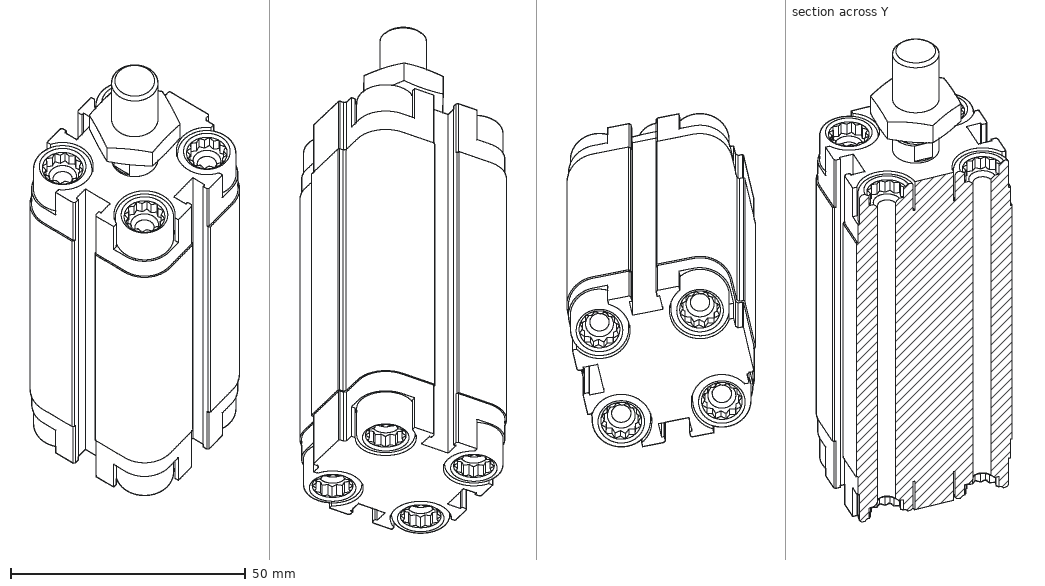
import cadquery as cq
import math

total_height = 114.5
housing_height = 88.2
cap_height = 12.7
cap_inset = 0.3
barrel_half_width = 18.0
screw_offset = 11.0

rib_top = 19.6
rib_half_width = 5.7
rib_root_chamfer = 0.5
rib_tip_chamfer = 0.2

slot_floor = 13.0
lip_back = 16.3
slot_half_width = 3.3
mouth_half_width = 2.7
mouth_chamfer = 0.3

pocket_depth = 7.7
pocket_wall = 7.8
pocket_bore = 13.0
head_diameter = 12.5
head_drop = 0.1
head_fillet = 0.9
mouth_diameter = 10.0
flute_diameter = 8.7
socket_diameter = 7.2
lead_in_depth = 0.6
star_depth = 2.7
flute_count = 12
countersink_diameter = 6.0
through_diameter = 4.1

rod_diameter = 10.0
neck_diameter = 8.7
tip_diameter = 8.5
tip_chamfer = (rod_diameter - tip_diameter) / 2
thread_end_height = 0.8
shank_height = 4.6
neck_height = 1.6
flats_width = 9.0
flats_start = 0.5

nut_across_flats = 17.0
nut_thickness = 5.3
nut_bottom = 96.4
nut_chamfer_angle = 15.0


def profile_solid(inset, bottom, height):
    """Rounded square with the rib, its outer surface moved in by the inset."""
    half = barrel_half_width - inset
    corner_radius = half - screw_offset
    rib_half = rib_half_width - inset
    tip = rib_top - inset
    square = (
        cq.Workplane("XY", origin=(0, 0, bottom))
        .rect(2 * half, 2 * half)
        .extrude(height)
        .edges("|Z")
        .fillet(corner_radius)
    )
    rib = (
        cq.Workplane("XY", origin=(0, 0, bottom))
        .moveTo(-rib_half - rib_root_chamfer, half)
        .lineTo(-rib_half, half + rib_root_chamfer)
        .lineTo(-rib_half, tip - rib_tip_chamfer)
        .lineTo(rib_tip_chamfer - rib_half, tip)
        .lineTo(rib_half - rib_tip_chamfer, tip)
        .lineTo(rib_half, tip - rib_tip_chamfer)
        .lineTo(rib_half, half + rib_root_chamfer)
        .lineTo(rib_half + rib_root_chamfer, half)
        .lineTo(rib_half, slot_floor)
        .lineTo(-rib_half, slot_floor)
        .close()
        .extrude(height)
    )
    slot = slot_cutter(half, bottom, height)
    section = square.union(rib)
    for angle in (-90, 0, 90):
        section = section.cut(slot.rotate((0, 0, 0), (0, 0, 1), angle))
    return section


def slot_cutter(face, bottom, height):
    """T-slot in the -Y face, with chamfered mouth edges."""
    wide_mouth = mouth_half_width + mouth_chamfer
    return (
        cq.Workplane("XY", origin=(0, 0, bottom))
        .moveTo(-slot_half_width, -slot_floor)
        .lineTo(slot_half_width, -slot_floor)
        .lineTo(slot_half_width, -lip_back)
        .lineTo(mouth_half_width, -lip_back)
        .lineTo(mouth_half_width, mouth_chamfer - face)
        .lineTo(wide_mouth, -face)
        .lineTo(-wide_mouth, -face)
        .lineTo(-mouth_half_width, mouth_chamfer - face)
        .lineTo(-mouth_half_width, -lip_back)
        .lineTo(-slot_half_width, -lip_back)
        .close()
        .extrude(height)
    )


def pocket_cutter():
    """Corner pocket around a screw on the Z axis, top at Z = 0, opening to +X +Y."""
    wall = pocket_wall - screw_offset
    corner_size = 2 * screw_offset
    bore = cq.Workplane("XY").circle(pocket_bore / 2).extrude(-pocket_depth)
    corner = (
        cq.Workplane("XY")
        .rect(corner_size, corner_size, centered=False)
        .extrude(-pocket_depth)
        .translate((wall, wall, 0))
    )
    return bore.union(corner)


def screw_head():
    """Round head with a 12-point star socket, on the Z axis, standing on the pocket floor."""
    head = (
        cq.Workplane("XY", origin=(0, 0, -pocket_depth))
        .circle(head_diameter / 2)
        .extrude(pocket_depth - head_drop)
        .faces(">Z")
        .edges()
        .fillet(head_fillet)
    )
    star_top = -head_drop - lead_in_depth
    star_bottom = star_top - star_depth
    hole_top = star_bottom - (countersink_diameter - through_diameter) / 2
    lead_in = cone(mouth_diameter, -head_drop, flute_diameter, star_top)
    countersink = cone(countersink_diameter, star_bottom, through_diameter, hole_top)
    star_points = []
    for index in range(2 * flute_count):
        radius = (flute_diameter if index % 2 == 0 else socket_diameter) / 2
        angle = math.pi * index / flute_count
        star_points.append((radius * math.cos(angle), radius * math.sin(angle)))
    star = (
        cq.Workplane("XY", origin=(0, 0, star_bottom))
        .polyline(star_points)
        .close()
        .extrude(star_depth)
    )
    return head.cut(lead_in).cut(star).cut(countersink)


def cone(top_diameter, top, bottom_diameter, bottom):
    """Cone frustum on the Z axis, narrowing downward."""
    return (
        cq.Workplane("XZ")
        .moveTo(0, top)
        .lineTo(top_diameter / 2, top)
        .lineTo(bottom_diameter / 2, bottom)
        .lineTo(0, bottom)
        .close()
        .revolve(360, (0, 0, 0), (0, 1, 0))
    )


def make_housing():
    barrel = profile_solid(0, cap_height, housing_height - 2 * cap_height)
    lower_cap = profile_solid(cap_inset, 0, cap_height)
    upper_cap = profile_solid(cap_inset, housing_height - cap_height, cap_height)
    housing = barrel.union(lower_cap).union(upper_cap)

    pocket = pocket_cutter()
    head = screw_head()
    for quarter in range(4):
        for at_bottom in (False, True):
            housing = housing.cut(place_at_corner(pocket, quarter, at_bottom))
            housing = housing.union(place_at_corner(head, quarter, at_bottom))

    through_holes = (
        cq.Workplane("XY")
        .rect(2 * screw_offset, 2 * screw_offset, forConstruction=True)
        .vertices()
        .circle(through_diameter / 2)
        .extrude(housing_height)
    )
    return housing.cut(through_holes)


def place_at_corner(shape, quarter, at_bottom):
    """Move a shape from the origin to a housing corner, mirrored for the lower end."""
    placed = shape.translate((screw_offset, screw_offset, housing_height))
    placed = placed.rotate((0, 0, 0), (0, 0, 1), 90 * quarter)
    if at_bottom:
        placed = placed.mirror("XY", (0, 0, housing_height / 2))
    return placed


def make_rod():
    """Rod standing on the housing: shank with two flats, neck and thread end."""
    neck_bottom = housing_height + shank_height
    neck_top = neck_bottom + neck_height
    rod = (
        cq.Workplane("XZ")
        .moveTo(0, housing_height)
        .lineTo(rod_diameter / 2, housing_height)
        .lineTo(rod_diameter / 2, neck_bottom)
        .lineTo(neck_diameter / 2, neck_bottom)
        .lineTo(neck_diameter / 2, neck_top)
        .lineTo(rod_diameter / 2, neck_top + thread_end_height)
        .lineTo(rod_diameter / 2, total_height - tip_chamfer)
        .lineTo(tip_diameter / 2, total_height)
        .lineTo(0, total_height)
        .close()
        .revolve(360, (0, 0, 0), (0, 1, 0))
    )
    flat_depth = (rod_diameter - flats_width) / 2
    flat_center = (flats_width + flat_depth) / 2
    for side in (-1, 1):
        flat = (
            cq.Workplane("XY", origin=(0, side * flat_center, housing_height + flats_start))
            .rect(rod_diameter, flat_depth)
            .extrude(shank_height - flats_start)
        )
        rod = rod.cut(flat)
    return rod


def make_nut():
    """Hexagon nut with two flats facing +-X and both ends chamfered."""
    across_corners = nut_across_flats / math.cos(math.pi / 6)
    corner_radius = across_corners / 2
    chamfer_radius = nut_across_flats / 2
    chamfer_height = (corner_radius - chamfer_radius) * math.tan(math.radians(nut_chamfer_angle))
    hexagon = (
        cq.Workplane("XY", origin=(0, 0, nut_bottom))
        .polygon(6, across_corners)
        .extrude(nut_thickness)
        .rotate((0, 0, 0), (0, 0, 1), 30)
    )
    nut_top = nut_bottom + nut_thickness
    chamfered_blank = (
        cq.Workplane("XZ")
        .moveTo(rod_diameter / 2, nut_bottom)
        .lineTo(chamfer_radius, nut_bottom)
        .lineTo(corner_radius, nut_bottom + chamfer_height)
        .lineTo(corner_radius, nut_top - chamfer_height)
        .lineTo(chamfer_radius, nut_top)
        .lineTo(rod_diameter / 2, nut_top)
        .close()
        .revolve(360, (0, 0, 0), (0, 1, 0))
    )
    return hexagon.intersect(chamfered_blank)


housing = make_housing()
rod = make_rod()
nut = make_nut()

result = cq.Compound.makeCompound([housing.val(), rod.val(), nut.val()])